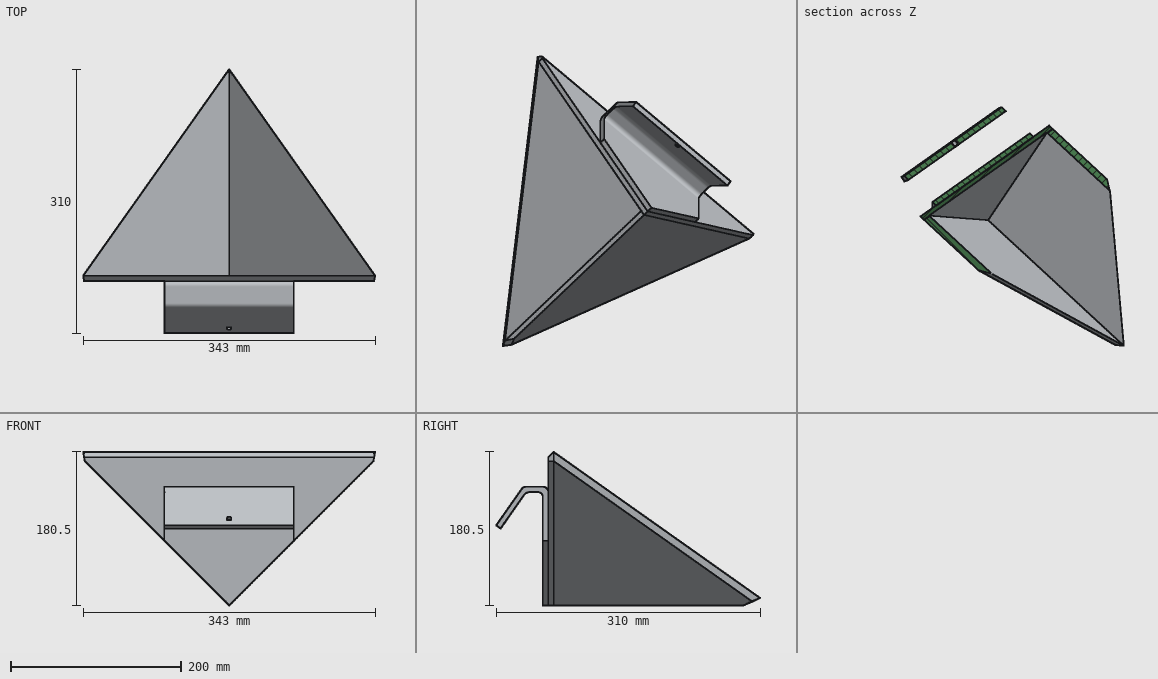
import cadquery as cq
import math

width = 343.0
height = 180.5
depth = 310.0

half_width = width / 2
root2 = math.sqrt(2)
valley_length = half_width * root2
sheet = (height - half_width) / root2
keel_z = -sheet * root2
bevel_run = sheet * root2

trim_along_lap = root2
trim_through_sheet = 1.7

hook_width = 152.2
hook_sheet = 6.5
hook_drop = 40.8
hook_top = half_width - hook_drop
leg_angle = 55.0
leg_length = 55.5
outer_bend_radius = 6.2
inner_bend_radius = 5.5
outer_knee_radius = 6.2
inner_knee_radius = 8.5
hole_diameter = 5.0
hole_distance = 45.5
hook_face_y = -sheet
hook_reach = depth - valley_length - sheet


def slope_point(along, outward, y, side):
    """Point given by distance up the slope, depth below the inner face, and Y."""
    return cq.Vector(side * (along + outward) / root2, y, (along - outward) / root2)


def faceted_solid(faces):
    shell = cq.Shell.makeShell(
        [cq.Face.makeFromWires(cq.Wire.makePolygon(list(face) + [face[0]])) for face in faces]
    )
    return cq.Solid.makeSolid(shell)


def prism_between(inner, outer):
    """Solid between matching outlines, with flat faces joining their edges."""
    count = len(inner)
    faces = [inner, outer]
    for i in range(count):
        j = (i + 1) % count
        faces.append([inner[i], inner[j], outer[j], outer[i]])
    return faceted_solid(faces)


def make_butt_plate():
    """Left plate: a right triangle, bevelled on its long edge, square at the valley."""
    def outline(outward):
        leg = valley_length - root2 * outward
        corners = [(0, 0), (leg, 0), (0, leg)]
        return [slope_point(along, outward, y, -1) for along, y in corners]

    return prism_between(outline(0), outline(sheet))


def make_lap_plate():
    """Right plate: mirrors the left one and laps under its square edge."""
    def outline(outward):
        leg = valley_length - root2 * outward
        cross = (trim_through_sheet - root2) * outward / (1 + trim_along_lap)
        lap_end = valley_length - trim_along_lap * sheet - trim_through_sheet * outward
        corners = [(-sheet, 0), (leg, 0), (cross, leg - cross), (-sheet, lap_end)]
        return [slope_point(along, outward, y, 1) for along, y in corners]

    return prism_between(outline(0), outline(sheet))


def make_back_plate():
    """Triangular end plate flush with the trough, its rim chamfered at the back."""
    rim_outer = slope_point(valley_length - bevel_run, sheet, 0, 1)
    plate = (
        cq.Workplane("XZ")
        .polyline([
            (-half_width, half_width),
            (half_width, half_width),
            (rim_outer.x, rim_outer.z),
            (0, keel_z),
            (-rim_outer.x, rim_outer.z),
        ])
        .close()
        .extrude(sheet)
    )
    rim_cut = (
        cq.Workplane("YZ")
        .polyline([(0, half_width), (-sheet, half_width), (-sheet, half_width - sheet)])
        .close()
        .extrude(half_width, both=True)
    )
    return plate.cut(rim_cut)


def make_hook():
    """Bent bracket: an upright following the V outline, a short top and a sloping leg."""
    angle = math.radians(leg_angle)
    leg_y, leg_z = -math.cos(angle), -math.sin(angle)
    inward_y, inward_z = -leg_z, leg_y
    tip_y = hook_face_y - hook_reach
    knee_y = tip_y - leg_length * leg_y
    tip_z = hook_top + leg_length * leg_z
    inner_knee_y = knee_y + hook_sheet * math.tan(angle / 2)
    inner_top = hook_top - hook_sheet
    upright_y = hook_face_y - hook_sheet

    def bend(profile, y, z, radius):
        reach = hook_sheet / 4
        corner = cq.selectors.BoxSelector(
            (-width, y - reach, z - reach),
            (width, y + reach, z + reach),
        )
        return profile.edges(corner).fillet(radius)

    hook = (
        cq.Workplane("YZ")
        .polyline([
            (hook_face_y, keel_z),
            (hook_face_y, hook_top),
            (knee_y, hook_top),
            (tip_y, tip_z),
            (tip_y + hook_sheet * inward_y, tip_z + hook_sheet * inward_z),
            (inner_knee_y, inner_top),
            (upright_y, inner_top),
            (upright_y, keel_z),
        ])
        .close()
        .extrude(hook_width / 2, both=True)
    )
    hook = bend(hook, hook_face_y, hook_top, outer_bend_radius)
    hook = bend(hook, knee_y, hook_top, outer_knee_radius)
    hook = bend(hook, inner_knee_y, inner_top, inner_knee_radius)
    hook = bend(hook, upright_y, inner_top, inner_bend_radius)

    envelope = (
        cq.Workplane("XZ")
        .polyline([
            (0, keel_z),
            (half_width, keel_z + half_width),
            (half_width, half_width),
            (-half_width, half_width),
            (-half_width, keel_z + half_width),
        ])
        .close()
        .extrude(depth)
    )
    hook = hook.intersect(envelope)

    hole = cq.Solid.makeCylinder(
        hole_diameter / 2,
        3 * hook_sheet,
        cq.Vector(
            0,
            knee_y + hole_distance * leg_y - hook_sheet * inward_y,
            hook_top + hole_distance * leg_z - hook_sheet * inward_z,
        ),
        cq.Vector(0, inward_y, inward_z),
    )
    return hook.cut(cq.Workplane(hole))


butt_plate = make_butt_plate()
lap_plate = make_lap_plate()
back_plate = make_back_plate()
hook = make_hook()

result = cq.Compound.makeCompound([butt_plate, lap_plate, back_plate.val(), hook.val()])